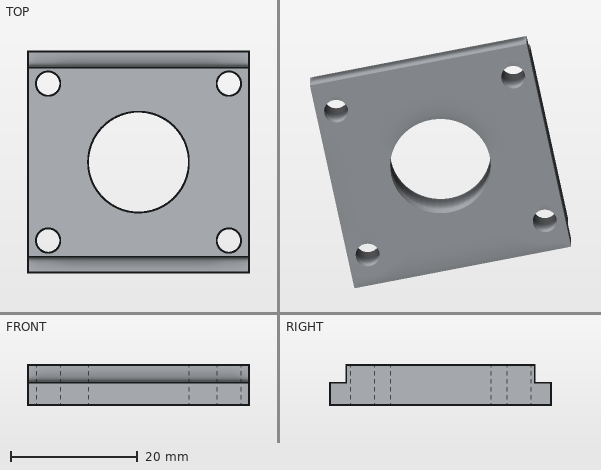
import cadquery as cq

side = 34.92
total_height = 6.35

ledge_width = 2.55
ledge_height = 3.55

bore_diameter = 15.9
screw_hole_diameter = 3.8
screw_spacing_x = 28.53
screw_spacing_y = 24.75

base = cq.Workplane("XY").box(side, side, ledge_height, centered=(True, True, False))
raised_width = side - 2 * ledge_width
raised_block = cq.Workplane("XY").box(side, raised_width, total_height, centered=(True, True, False))
plate = base.union(raised_block)

plate = plate.faces(">Z").workplane(origin=(0, 0, total_height)).hole(bore_diameter)

result = (
    plate.faces(">Z")
    .workplane(origin=(0, 0, total_height))
    .rarray(screw_spacing_x, screw_spacing_y, 2, 2)
    .hole(screw_hole_diameter)
)